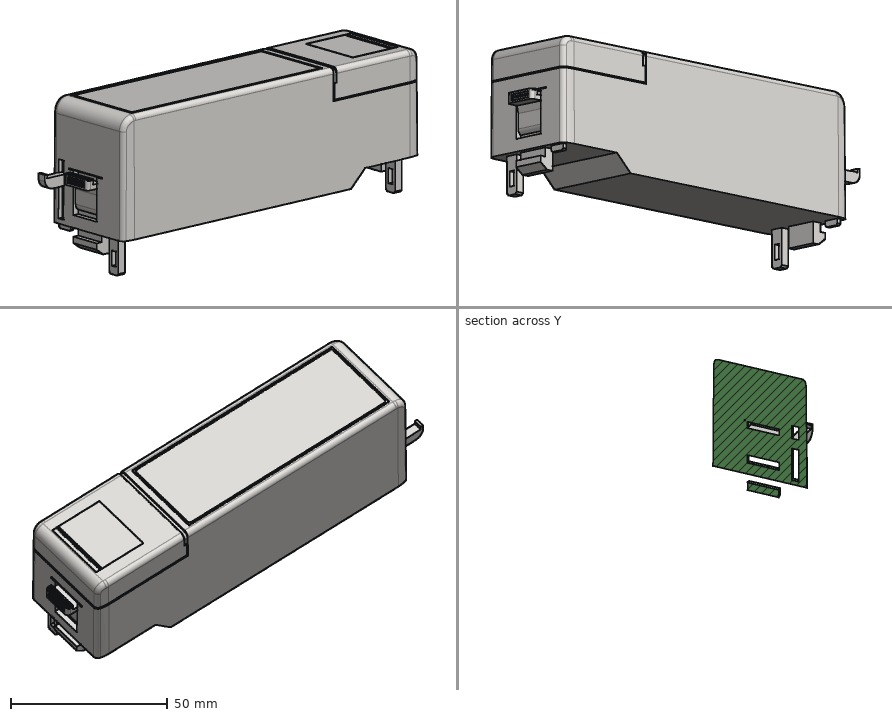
import cadquery as cq

width = 34.8
length = 128.1
overall_length = 140.3
height = 41.4
draft_angle = 0.35
corner_run = 4.6
corner_inset = 0.8
front_top_radius = 5.0
rear_top_radius = 3.5
edge_radius = 1.8
rear_step = 5.9
step_start = 98.0
step_end = 104.2

lid_front = 90.8
lid_seam_below_top = 11.0
seam_width = 0.4
seam_depth = 0.1
rebate_width = 1.4
rebate_drop = 5.0
rebate_depth = 0.5
rebate_side_depth = 0.3

label_width = 22.5
label_front = 104.4
label_rear = 123.7
label_depth = 0.1
label_slot_front = 121.2
label_slot_width = 0.8
label_slot_depth = 0.7
panel_width = 29.2
panel_front = 6.0
panel_rear = 88.2
panel_corner = 1.1
panel_groove_width = 0.5
panel_groove_depth = 0.4

clip_width = 11.2
clip_x = -1.1
clip_back = 5.5
window_bottom = 4.2
window_top = 19.0
window_depth = 2.1
slit_width = 15.6
slit_height = 0.3
slit_depth = 0.4
lever_recess = 1.0
lever_round = 2.4
lever_bottom = 5.3
lever_bevel_start = 12.8
grip_bottom = 15.2
grip_neck_top = 16.8
grip_top = 18.7
grip_reach = 3.9
grip_wall = 2.5
grip_corner = 1.3
grip_recess_width = 7.6
grip_recess_height = 2.0
grip_recess_depth = 0.4
grip_rib_height = 0.4
grip_groove = 0.4
grip_groove_count = 2

hook_top = -3.0
hook_bevel_top = -5.0
hook_bottom = -7.2
hook_throat = 2.1

foot_x = 9.4
foot_width = 4.5
foot_front = 3.0
foot_back = 5.9
foot_depth = 12.9
foot_chamfer = 0.7
foot_slot_width = 1.8
foot_slot_top = -5.0
foot_slot_bottom = -10.1

stub_x = -12.6
stub_width = 5.6
stub_front = 1.7
stub_back = 3.1
stub_depth = 2.1
stub_chamfer = 0.5

arm_x = -12.6
arm_width = 3.1
arm_reach = overall_length - length - grip_reach
arm_top = 16.8
arm_bottom = 13.0
arm_tip = 1.0
arm_tip_top = 18.1
arm_curve_start = 4.6
arm_curve_middle = (-7.2, 13.9)
arm_curve_top = 16.0
arm_slot_width = 2.4
arm_slot_bottom = 1.7
arm_slot_top = 21.3
arm_slot_depth = 1.7

root = 4.2
clear = 1.4


def block(x0, x1, y0, y1, z0, z1):
    return cq.Workplane("XY").box(x1 - x0, y1 - y0, z1 - z0, centered=False).translate((x0, y0, z0))


def centred_block(x, size, y0, y1, z0, z1):
    return block(x - size / 2, x + size / 2, y0, y1, z0, z1)


def profile(points, x, size):
    """Extrude a (Y, Z) outline across X, centred on x."""
    return cq.Workplane("YZ").polyline(points).close().extrude(size / 2, both=True).translate((x, 0, 0))


def plan_outline(inset=0.0):
    """Rectangle whose side walls bow gently inwards at the four corners."""
    half = width / 2 - inset
    front = inset
    rear = length - inset
    end_half = half - corner_inset
    bow_x = half - corner_inset / 4
    half_run = corner_run / 2
    return (
        cq.Workplane("XY")
        .moveTo(-end_half, front)
        .lineTo(end_half, front)
        .threePointArc((bow_x, front + half_run), (half, front + corner_run))
        .lineTo(half, rear - corner_run)
        .threePointArc((bow_x, rear - half_run), (end_half, rear))
        .lineTo(-end_half, rear)
        .threePointArc((-bow_x, rear - half_run), (-half, rear - corner_run))
        .lineTo(-half, front + corner_run)
        .threePointArc((-bow_x, front + half_run), (-end_half, front))
        .close()
    )


def rounded_shell(inset=0.0, drop=0.0):
    """Outer form of the housing, or a smaller copy set in at the walls and dropped at the top."""
    body = plan_outline(inset).extrude(height - drop, taper=draft_angle)
    body = body.faces(">Z").edges("<Y").fillet(front_top_radius)
    body = body.faces(">Z").edges(">Y").fillet(rear_top_radius)
    return body.faces(">Z").edges("|Y").fillet(edge_radius)


def housing():
    underside_step = profile(
        [(step_start, 0), (step_end, rear_step), (length + clear, rear_step),
         (length + clear, -clear), (step_start, -clear)],
        0, 2 * width)
    return rounded_shell().cut(underside_step)


def lid_grooves():
    """Rebate over the top at the lid's front edge, and the fine seam around the rest of the lid."""
    seam_z = height - lid_seam_below_top
    rebate_z = height - rebate_drop
    rebate = centred_block(0, 2 * width, lid_front, lid_front + rebate_width, rebate_z, height + clear)
    rebate = rebate.cut(rounded_shell(rebate_side_depth, rebate_depth))
    level_seam = centred_block(0, 2 * width, lid_front, length + clear, seam_z, seam_z + seam_width)
    upright_seam = centred_block(0, 2 * width, lid_front, lid_front + seam_width, seam_z, rebate_z)
    seam = level_seam.union(upright_seam).cut(rounded_shell(seam_depth))
    return rebate.union(seam)


def label_recess():
    recess = centred_block(0, label_width, label_front, label_rear, height - label_depth, height + clear)
    slot_rear = label_slot_front + label_slot_width
    slot = centred_block(0, label_width, label_slot_front, slot_rear, height - label_slot_depth, height + clear)
    return recess.union(slot)


def panel_groove():
    floor = height - panel_groove_depth
    inner_width = panel_width - 2 * panel_groove_width
    outer = centred_block(0, panel_width, panel_front, panel_rear, floor, height + clear)
    inner = centred_block(
        0, inner_width, panel_front + panel_groove_width, panel_rear - panel_groove_width, floor, height + clear)
    inner = inner.edges("|Z").fillet(panel_corner)
    return outer.cut(inner)


def clip_pockets():
    window = centred_block(clip_x, clip_width, -clear, window_depth, window_bottom, window_top)
    slit = centred_block(clip_x, slit_width, -clear, slit_depth, window_top, window_top + slit_height)
    return window.union(slit)


def lever():
    """Plate inside the window, rounded off at its lower end and bevelled below the grip."""
    lever_top = (grip_bottom + grip_neck_top) / 2
    bevel_face = lever_recess / 2
    return (
        cq.Workplane("YZ")
        .moveTo(root, lever_bottom)
        .lineTo(lever_recess + lever_round, lever_bottom)
        .radiusArc((lever_recess, lever_bottom + lever_round), lever_round)
        .lineTo(lever_recess, lever_bevel_start)
        .lineTo(bevel_face, grip_bottom)
        .lineTo(bevel_face, lever_top)
        .lineTo(root, lever_top)
        .close()
        .extrude(clip_width / 2, both=True)
        .translate((clip_x, 0, 0))
    )


def grip():
    """Upturned finger grip with a ribbed recess in its face and grooves along its top."""
    wall_back = grip_wall - grip_reach
    wall = centred_block(clip_x, clip_width, -grip_reach, wall_back, grip_bottom, grip_top)
    wall = wall.edges("|Z and <Y").fillet(grip_corner)
    middle = (grip_bottom + grip_top) / 2
    recess_floor = grip_recess_depth - grip_reach
    recess = centred_block(
        clip_x, grip_recess_width, -grip_reach - clear, recess_floor,
        middle - grip_recess_height / 2, middle + grip_recess_height / 2)
    rib = centred_block(
        clip_x, grip_recess_width, -grip_reach, recess_floor,
        middle - grip_rib_height / 2, middle + grip_rib_height / 2)
    wall = wall.cut(recess).union(rib)
    for index in range(grip_groove_count):
        groove_y = wall_back - grip_wall * (index + 1) / (grip_groove_count + 1)
        wall = wall.cut(centred_block(
            clip_x, 2 * clip_width, groove_y - grip_groove / 2, groove_y + grip_groove / 2,
            grip_top - grip_groove, grip_top + clear))
    neck = centred_block(clip_x, clip_width, wall_back, root, grip_bottom, grip_neck_top)
    return wall.union(neck)


def hook():
    """Rail hook below the lever."""
    outline = [
        (clip_back, root), (clip_back, hook_bottom), (foot_front, hook_bottom), (0, hook_bevel_top),
        (0, hook_top), (hook_throat, hook_top), (hook_throat, root)]
    return profile(outline, clip_x, clip_width)


def foot():
    leg = centred_block(foot_x, foot_width, foot_front, foot_back, -foot_depth, root)
    leg = leg.faces("<Z").edges("|Y").chamfer(foot_chamfer)
    slot = centred_block(
        foot_x, foot_slot_width, foot_front - clear, foot_back + clear, foot_slot_bottom, foot_slot_top)
    return leg.cut(slot)


def stub():
    peg = centred_block(stub_x, stub_width, stub_front, stub_back, -stub_depth, root)
    return peg.faces("<Z").edges("|Y").chamfer(stub_chamfer)


def at_rear(shape):
    """The rear copy of a front-end feature: mirrored end for end and raised with the underside."""
    return shape.mirror("XZ").translate((0, length, rear_step))


def locking_arm():
    return (
        cq.Workplane("YZ")
        .moveTo(root, arm_bottom)
        .lineTo(-arm_curve_start, arm_bottom)
        .threePointArc(arm_curve_middle, (-arm_reach, arm_curve_top))
        .lineTo(-arm_reach, arm_tip_top)
        .lineTo(arm_tip - arm_reach, arm_tip_top)
        .lineTo(arm_tip - arm_reach, arm_top)
        .lineTo(root, arm_top)
        .close()
        .extrude(arm_width / 2, both=True)
        .translate((arm_x, 0, 0))
    )


arm_slot = centred_block(arm_x, arm_slot_width, -clear, arm_slot_depth, arm_slot_bottom, arm_slot_top)

result = housing().cut(lid_grooves()).cut(label_recess()).cut(panel_groove()).cut(arm_slot)
result = result.cut(clip_pockets()).cut(at_rear(clip_pockets()))
for part in (lever(), grip(), hook(), foot(), stub()):
    result = result.union(part).union(at_rear(part))
result = result.union(locking_arm())